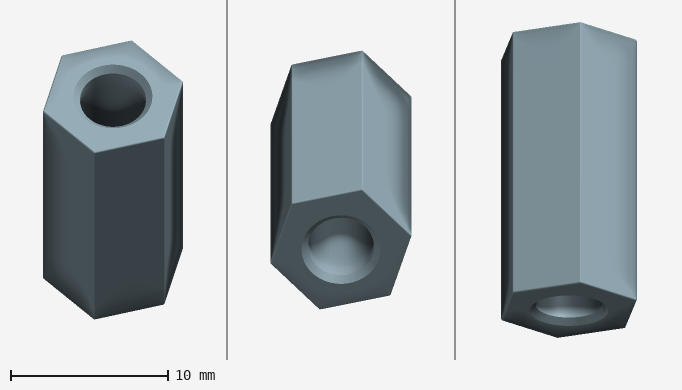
import cadquery as cq
import math

length = 18.0
across_flats = 8.0
edge_radius = 0.1

bore_diameter = 4.2
countersink_diameter = 5.0
countersink_depth = (countersink_diameter - bore_diameter) / 2


def hexagonal_body():
    """Hexagonal bar with corners on the X axis and every outer edge rounded."""
    across_corners = across_flats / math.cos(math.pi / 6)
    bar = cq.Workplane("XY").polygon(6, across_corners).extrude(length / 2, both=True)
    return bar.edges().fillet(edge_radius)


def countersunk_bore():
    """Solid of the material removed by the bore and its two countersinks."""
    half_length = length / 2
    bore_radius = bore_diameter / 2
    mouth_radius = countersink_diameter / 2
    cone_end = half_length - countersink_depth
    half_profile = [
        (0, -half_length),
        (mouth_radius, -half_length),
        (bore_radius, -cone_end),
        (bore_radius, cone_end),
        (mouth_radius, half_length),
        (0, half_length),
    ]
    return cq.Workplane("XZ").polyline(half_profile).close().revolve(360, (0, 0, 0), (0, 1, 0))


result = hexagonal_body().cut(countersunk_bore())